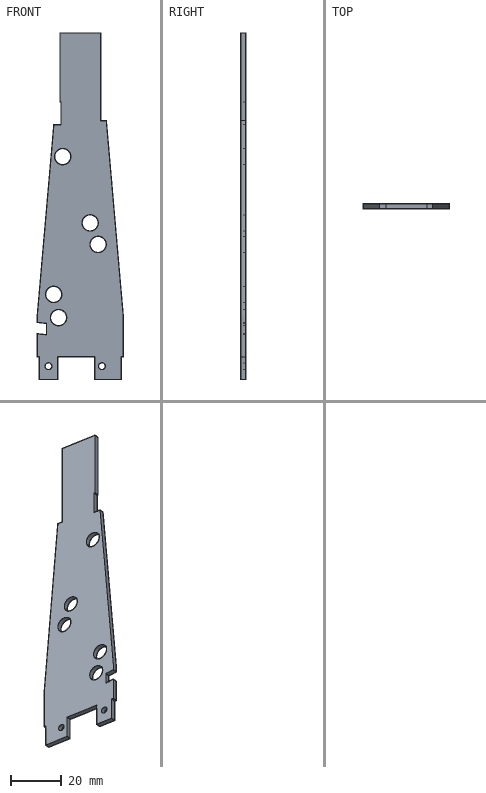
import cadquery as cq

width = 34.3
height = 137.6
thickness = 2.0

foot_height = 9.1
foot_inset = 0.8
gap_left = 8.3
gap_right = 22.8

taper_start = 25.0
left_shoulder_x = 6.6
left_shoulder_z = 101.2
right_shoulder_x = 27.5
right_shoulder_z = 102.8

tongue_left = 9.1
tongue_right = 25.3
relief_depth = 0.4
relief_top = 110.2

notch_depth = 3.7
notch_bottom = 18.3
notch_height = 4.4
notch_drop = 0.4

large_hole_diameter = 6.3
large_hole_centres = [(10.2, 88.5), (21.0, 62.2), (24.2, 53.7), (6.6, 33.9), (8.5, 24.6)]
foot_hole_diameter = 2.6
foot_hole_z = 5.4
foot_hole_centres = [(4.5, foot_hole_z), (25.7, foot_hole_z)]


def extrude_through(sketch):
    """Extrude an XZ sketch evenly about the middle plane of the plate."""
    return sketch.extrude(thickness / 2, both=True)


def make_plate():
    outline = [
        (foot_inset, 0),
        (gap_left, 0),
        (gap_left, foot_height),
        (gap_right, foot_height),
        (gap_right, 0),
        (width - foot_inset, 0),
        (width - foot_inset, foot_height),
        (width, foot_height),
        (width, taper_start),
        (right_shoulder_x, right_shoulder_z),
        (tongue_right, right_shoulder_z),
        (tongue_right, height),
        (tongue_left, height),
        (tongue_left, relief_top),
        (tongue_left + relief_depth, relief_top),
        (tongue_left + relief_depth, left_shoulder_z),
        (left_shoulder_x, left_shoulder_z),
        (0, taper_start),
        (0, foot_height),
        (foot_inset, foot_height),
    ]
    return extrude_through(cq.Workplane("XZ").polyline(outline).close())


def make_notch():
    notch_top = notch_bottom + notch_height
    corners = [
        (0, notch_bottom),
        (notch_depth, notch_bottom - notch_drop),
        (notch_depth, notch_top - notch_drop),
        (0, notch_top),
    ]
    return extrude_through(cq.Workplane("XZ").polyline(corners).close())


def make_holes(centres, diameter):
    return extrude_through(cq.Workplane("XZ").pushPoints(centres).circle(diameter / 2))


result = (
    make_plate()
    .cut(make_notch())
    .cut(make_holes(large_hole_centres, large_hole_diameter))
    .cut(make_holes(foot_hole_centres, foot_hole_diameter))
)